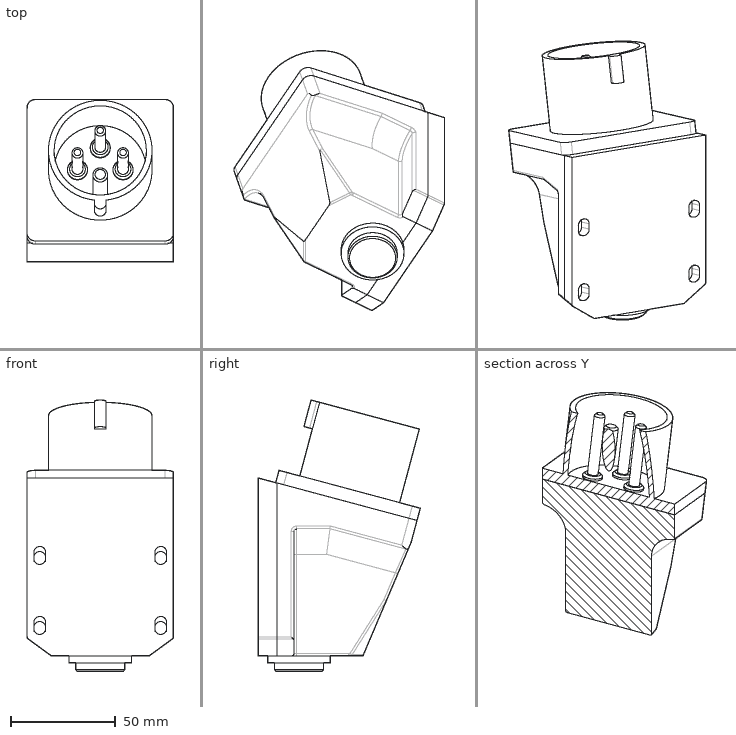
import cadquery as cq
import math


width = 70.0
tilt = 15.0
front_height = 85.1
plate_thickness = 9.1

corner_cut_width = 11.5
corner_cut_height = 8.4

rim_back = 17.1
slab_depth = 14.5
roof_height = 60.8
side_inset = 12.2
bottom_depth = 50.2
back_lean = 23.0
bevel_height = 29.0
bevel_depth = 6.0
bevel_width = 10.4
roof_fillet = 12.3
edge_fillet = 1.3
bottom_fillet = 1.0

flange_size = 70.0
flange_start = 8.7
flange_thickness = 6.1
corner_radius = 4.0
shroud_radius = 24.8
shroud_bore_radius = 22.0
shroud_top = 42.5
key_width = 5.7
key_reach = 28.9
key_length = 13.2
collar_radius = 4.8
collar_height = 2.0
collar_chamfer = 1.0

pin_circle_radius = 10.9
pin_top = 38.9
pin_radius = 2.6
earth_pin_radius = 3.5
pin_chamfer = 1.0

slot_length = 8.3
slot_width = 5.7
slot_spacing = 57.8
slot_heights = (14.5, 48.0)

gland_offset = 19.6
ring_radius = 15.0
ring_height = 3.4
neck_radius = 11.8
neck_height = 4.0
neck_chamfer = 0.8

slope_cos = math.cos(math.radians(tilt))
slope_sin = math.sin(math.radians(tilt))
slope_tan = math.tan(math.radians(tilt))
lean_tan = math.tan(math.radians(back_lean))
flange_end = flange_start + flange_size
flange_middle = flange_start + flange_size / 2
body_half = width / 2 - side_inset
tiny = 0.01
far = 259.4


def slope_point(along, above):
    """(Y, Z) of a point given along and above the top face."""
    return (
        along * slope_cos + above * slope_sin,
        front_height - along * slope_sin + above * slope_cos,
    )


def slope_plane(x, along, above):
    """Workplane parallel to the top face; its x runs down the slope and its y towards -X."""
    plane = cq.Plane(
        (x, *slope_point(along, above)), (0, slope_cos, -slope_sin), (0, slope_sin, slope_cos)
    )
    return cq.Workplane(plane)


def side_extrusion(outline, thickness):
    """Extrude a (Y, Z) outline evenly to both sides of X = 0."""
    return cq.Workplane("YZ").polyline(outline).close().extrude(thickness / 2, both=True)


def fillet_where(body, radius, wanted):
    """Round the edges whose bounding box passes the test."""
    edges = [edge for edge in body.edges().vals() if wanted(edge.BoundingBox())]
    return body.newObject([body.val().fillet(radius, edges)])


def in_side_plane(box, half):
    """True for an edge lying in the plane X = -half or X = half."""
    return box.xlen < tiny and abs(abs(box.center.x) - half) < tiny


def front_silhouette():
    """Everything inside the front outline, whose two lower corners are cut off."""
    outline = [
        (-width / 2 + corner_cut_width, 0),
        (width / 2 - corner_cut_width, 0),
        (width / 2, corner_cut_height),
        (width / 2, front_height),
        (-width / 2, front_height),
        (-width / 2, corner_cut_height),
    ]
    prism = cq.Workplane("XZ").polyline(outline).close().extrude(-far)
    return fillet_where(
        prism,
        edge_fillet,
        lambda box: box.ylen > far / 2 and abs(box.center.z - corner_cut_height) < tiny,
    )


def make_plate():
    top = front_height - plate_thickness * slope_tan
    outline = [(0, 0), (plate_thickness, 0), (plate_thickness, top), (0, front_height)]
    plate = side_extrusion(outline, width).intersect(front_silhouette())
    for height in slot_heights:
        for x in (-slot_spacing / 2, slot_spacing / 2):
            mouth = cq.Plane((x, 0, height), (0, slope_sin, slope_cos), (0, slope_cos, -slope_sin))
            slot = cq.Workplane(mouth).slot2D(slot_length, slot_width)
            plate = plate.cut(slot.extrude(2 * plate_thickness, both=True))
    return plate


def housing_block():
    """Full-width block whose back is square to the top face above and leans in below."""
    top_y, top_z = slope_point(flange_end, 0)
    wall = (bottom_depth + lean_tan * top_z - top_y) / (lean_tan * slope_cos - slope_sin)
    outline = [
        (plate_thickness, 0),
        (bottom_depth, 0),
        slope_point(flange_end, -wall),
        (top_y, top_z),
        (plate_thickness, front_height - plate_thickness * slope_tan),
    ]
    return side_extrusion(outline, width)


def side_pocket():
    """Space beside the narrow body on the -X side, open to the side, the back and below."""
    start_y, start_z = slope_point(0, -slab_depth)
    roof_end = start_y + (start_z - roof_height) / slope_tan
    outline = [
        (rim_back, -far),
        (rim_back, roof_height),
        (roof_end, roof_height),
        (far, start_z - (far - start_y) * slope_tan),
        (far, -far),
    ]
    floor = cq.Workplane("YZ", origin=(-body_half, 0, 0))
    pocket = floor.polyline(outline).close().extrude(-2 * side_inset)
    pocket = fillet_where(
        pocket,
        roof_fillet,
        lambda box: in_side_plane(box, body_half)
        and box.zmin > -far / 2
        and box.zmax < roof_height + tiny
        and box.ylen > tiny,
    )
    return fillet_where(
        pocket,
        edge_fillet,
        lambda box: in_side_plane(box, body_half) and box.ymax < rim_back + tiny,
    )


def back_bevel(side):
    """Wedge cut from a lower back edge of the narrow body; side is -1 or 1."""
    tip = cq.Vector(side * body_half, bottom_depth + bevel_height * lean_tan, bevel_height)
    side_foot = cq.Vector(side * body_half, bottom_depth - bevel_depth, 0)
    back_foot = cq.Vector(side * (body_half - bevel_width), bottom_depth, 0)
    outward = (side_foot - tip).cross(back_foot - tip) * side
    plane = cq.Plane(tip.toTuple(), (side_foot - tip).toTuple(), outward.toTuple())
    wedge = cq.Workplane(plane).rect(far, far).extrude(far)
    below = cq.Workplane("XY").box(far, far, bevel_height, centered=(True, True, False))
    return wedge.intersect(below)


def back_corner(side):
    """Material outside the rounded back corner of the housing; side is -1 or 1."""
    reach = 2 * corner_radius
    centre = slope_plane(side * (width / 2 - corner_radius), flange_end - corner_radius, 0)
    outside = centre.center(reach / 2, -side * reach / 2).rect(reach, reach).extrude(-far)
    return outside.cut(centre.circle(corner_radius).extrude(-far))


def make_housing():
    housing = housing_block()
    pocket = side_pocket()
    housing = housing.cut(pocket).cut(pocket.mirror("YZ"))

    housing = fillet_where(
        housing,
        edge_fillet,
        lambda box: in_side_plane(box, width / 2)
        and rim_back - tiny < box.ymin < bottom_depth
        and box.zmax < roof_height + tiny,
    )

    for side in (-1, 1):
        housing = housing.cut(back_bevel(side))
    housing = fillet_where(
        housing,
        edge_fillet,
        lambda box: in_side_plane(box, body_half)
        and box.zlen > 1.3
        and box.ymin > bottom_depth - bevel_depth - tiny,
    )

    housing = fillet_where(
        housing,
        bottom_fillet,
        lambda box: in_side_plane(box, body_half) and abs(box.zmax) < tiny,
    )
    for side in (-1, 1):
        housing = housing.cut(back_corner(side), clean=False)
    return housing.intersect(front_silhouette(), clean=False)


def make_insert():
    flange = (
        slope_plane(0, flange_middle, 0)
        .rect(flange_size, width)
        .extrude(flange_thickness)
    )
    corners = cq.selectors.ParallelDirSelector(cq.Vector(0, slope_sin, slope_cos))
    flange = flange.edges(corners).fillet(corner_radius)

    shroud_height = shroud_top - flange_thickness
    shroud = slope_plane(0, flange_middle, flange_thickness).circle(shroud_radius).extrude(shroud_height)
    key = (
        slope_plane(0, flange_middle, shroud_top)
        .center(-key_reach / 2, 0)
        .slot2D(key_reach, key_width)
        .extrude(-key_length)
    )
    bore = slope_plane(0, flange_middle, flange_thickness).circle(shroud_bore_radius).extrude(shroud_height)
    insert = flange.union(shroud).union(key).cut(bore)

    for x, along in contact_places:
        collar = slope_plane(x, along, flange_thickness).circle(collar_radius).extrude(collar_height)
        collar = collar.faces(">Z").chamfer(collar_chamfer)
        hole = slope_plane(x, along, flange_thickness).circle(pin_radius).extrude(collar_height)
        insert = insert.union(collar).cut(hole)
    return insert


def make_pin(x, along, radius):
    pin = slope_plane(x, along, flange_thickness).circle(radius).extrude(pin_top - flange_thickness)
    return pin.faces(">Z").chamfer(pin_chamfer)


def make_gland():
    ring = cq.Workplane("XY", origin=(0, gland_offset, 0)).circle(ring_radius).extrude(-ring_height)
    neck = ring.faces("<Z").workplane().circle(neck_radius).extrude(neck_height)
    return neck.faces("<Z").chamfer(neck_chamfer)


contact_places = [
    (-pin_circle_radius, flange_middle),
    (pin_circle_radius, flange_middle),
    (0, flange_middle + pin_circle_radius),
]

plate = make_plate()
housing = make_housing()
insert = make_insert()
gland = make_gland()
pins = [make_pin(x, along, pin_radius) for x, along in contact_places]
earth_pin = make_pin(0, flange_middle - pin_circle_radius, earth_pin_radius)

bodies = [plate, housing, insert, gland, earth_pin, *pins]
result = cq.Compound.makeCompound([body.solids().val() for body in bodies])